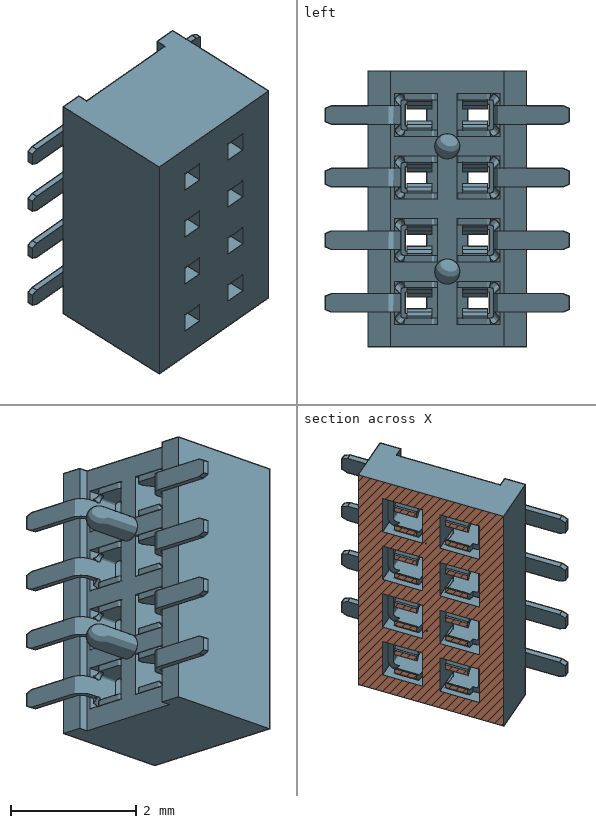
import cadquery as cq
import math


overall_length = 2.82
housing_width = 2.535
housing_height = 4.4
housing_front = 0.71
channel_depth = 0.17
channel_width = 1.815
channel_floor = housing_front + channel_depth

pitch = 1.0
contacts_per_row = 4
row_offset = pitch / 2
contact_heights = [(i - (contacts_per_row - 1) / 2) * pitch for i in range(contacts_per_row)]

cavity_size = 0.685
entry_wall = 0.35
cavity_floor = overall_length - entry_wall
entry_hole_size = 0.34

sheet = 0.1
corner_radius = 0.15
edge_recess = 0.01
shell_front = channel_floor + edge_recess
shell_back = 1.365
corner_drop = 0.065
notch_radius = 0.075
relief_radius = 0.055
side_edge_radius = 0.095
side_taper_start = 1.055
side_taper_end = 1.23

arm_width = 0.395
arm_inner_side = 0.245
arm_root = 1.495
arm_shoulder = 1.54
arm_tip = 1.76
arm_root_gap = 0.21
arm_shoulder_gap = 0.15
arm_tip_gap = 0.092

tail_front = 0.575
tail_width = 0.3
tail_end = 1.95
tail_bend_radius = 0.23
tail_taper_length = 0.1
tail_taper = 0.045

peg_diameter = 0.4
peg_radius = peg_diameter / 2
peg_embed = 0.045


def box(x_min, x_max, y_min, y_max, z_min, z_max):
    """Axis-aligned box between the given limits."""
    size = (x_max - x_min, y_max - y_min, z_max - z_min)
    return cq.Workplane("XY").box(*size, centered=False).translate((x_min, y_min, z_min))


def square_bore(x_min, x_max, size):
    """Square prism along X, centred on the +Y row at Z = 0."""
    half = size / 2
    return box(x_min, x_max, row_offset - half, row_offset + half, -half, half)


def make_housing():
    """Block with a full-height channel in its mounting face."""
    half_width = housing_width / 2
    half_height = housing_height / 2
    half_channel = channel_width / 2
    block = box(housing_front, overall_length, -half_width, half_width, -half_height, half_height)
    channel = box(housing_front, channel_floor, -half_channel, half_channel, -half_height, half_height)
    return block.cut(channel)


def round_front_edges(shell, y_position, radius):
    """Round the front edges of the side walls that lie along Z at the given Y."""
    reach = 0.005
    half = cavity_size / 2 + reach
    edge_zone = cq.selectors.BoxSelector(
        (shell_front - reach, y_position - reach, -half),
        (shell_front + reach, y_position + reach, half),
    )
    return shell.edges("|Z").edges(edge_zone).fillet(radius)


def make_corner_notch():
    """Round notch across the upper bend of the shell, on the diagonal of the bend."""
    bend_offset = cavity_size / 2 - corner_radius
    notch_plane = cq.Plane(
        origin=(shell_front + corner_drop, row_offset + bend_offset, bend_offset),
        xDir=(1, 0, 0),
        normal=(0, 1, 1),
    )
    return cq.Workplane(notch_plane).circle(notch_radius).extrude(2 * corner_radius)


def make_shell():
    """U-shaped channel lining the cavity, open toward the middle of the housing."""
    half = cavity_size / 2
    inner_side = row_offset - half
    outer_side = row_offset + half
    shell = box(shell_front, shell_back, inner_side, outer_side, -half, half)
    shell = shell.edges("|X and >Y").fillet(corner_radius)
    inner_half = half - sheet
    hollow = box(shell_front, shell_back, inner_side, outer_side - sheet, -inner_half, inner_half)
    hollow = hollow.edges("|X and >Y").fillet(corner_radius - sheet)
    shell = shell.cut(hollow)

    taper = (
        cq.Workplane("XY")
        .moveTo(side_taper_start, inner_side)
        .lineTo(side_taper_end, arm_inner_side)
        .lineTo(shell_back, arm_inner_side)
        .lineTo(shell_back, inner_side)
        .close()
        .extrude(half, both=True)
    )
    shell = shell.cut(taper)

    relief_start = outer_side - corner_radius
    relief_bottom = shell_front + corner_drop
    for z_min, z_max in ((tail_width / 2, half), (-half, -tail_width / 2)):
        shell = shell.cut(box(shell_front, relief_bottom, relief_start, outer_side, z_min, z_max))
    shell = round_front_edges(shell, inner_side, side_edge_radius)
    shell = round_front_edges(shell, relief_start, relief_radius)
    notch = make_corner_notch()
    return shell.cut(notch).cut(notch.mirror("XY"))


def make_arm():
    """Upper spring arm, leaning from the side wall toward the inserted pin."""
    wall_gap = cavity_size / 2 - sheet
    inner_face = [
        (shell_back, wall_gap),
        (arm_root, arm_root_gap),
        (arm_shoulder, arm_shoulder_gap),
        (arm_tip, arm_tip_gap),
    ]
    outer_face = [(x, gap + sheet) for x, gap in reversed(inner_face)]
    arm = cq.Workplane("XZ").polyline(inner_face + outer_face).close().extrude(-arm_width)
    return arm.translate((0, arm_inner_side, 0))


def make_tail():
    """Solder tail: strip leaving the cavity, bent outward and tapered at its tip."""
    leg_inner = row_offset + cavity_size / 2 - sheet
    leg_outer = leg_inner + sheet
    bend_y = leg_inner + tail_bend_radius
    bend_x = tail_front + tail_bend_radius
    inner_radius = tail_bend_radius - sheet
    diagonal = math.sqrt(0.5)
    strip = (
        cq.Workplane("XY")
        .moveTo(shell_front + corner_drop, leg_inner)
        .lineTo(bend_x, leg_inner)
        .threePointArc(
            (bend_x - tail_bend_radius * diagonal, bend_y - tail_bend_radius * diagonal),
            (tail_front, bend_y),
        )
        .lineTo(tail_front, tail_end)
        .lineTo(tail_front + sheet, tail_end)
        .lineTo(tail_front + sheet, bend_y)
        .threePointArc(
            (bend_x - inner_radius * diagonal, bend_y - inner_radius * diagonal),
            (bend_x, leg_outer),
        )
        .lineTo(shell_front + corner_drop, leg_outer)
        .close()
        .extrude(tail_width / 2, both=True)
    )
    return strip.faces(">Y").edges("|X").chamfer(tail_taper_length, tail_taper)


def make_contact():
    """Complete contact of the +Y row at Z = 0."""
    arm = make_arm()
    return make_shell().union(arm).union(arm.mirror("XY")).union(make_tail())


def make_peg():
    """Round locating peg along X with a hemispherical tip at X = 0."""
    shank = cq.Workplane("YZ").workplane(offset=peg_radius).circle(peg_radius)
    shank = shank.extrude(channel_floor + peg_embed - peg_radius)
    return shank.union(cq.Workplane("XY").sphere(peg_radius, direct=(1, 0, 0)).translate((peg_radius, 0, 0)))


result = make_housing()
cavity = square_bore(channel_floor, cavity_floor, cavity_size)
entry_hole = square_bore(cavity_floor, overall_length, entry_hole_size)
opening = cavity.union(entry_hole)
contact = make_contact()
for z in contact_heights:
    for opening_side in (opening, opening.mirror("XZ")):
        result = result.cut(opening_side.translate((0, 0, z)))
    for contact_side in (contact, contact.mirror("XZ")):
        result = result.union(contact_side.translate((0, 0, z)))
peg = make_peg()
for z in (-pitch, pitch):
    result = result.union(peg.translate((0, 0, z)))